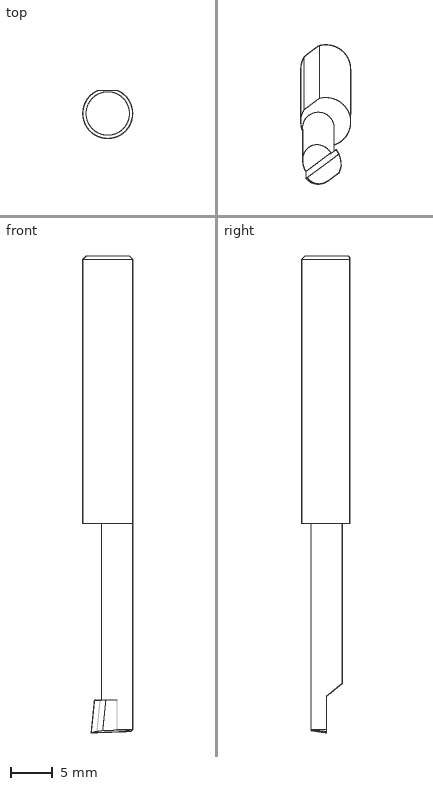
import cadquery as cq
import math

total_length = 57
shank_radius = 2.99
shank_bottom = 25.0
shank_chamfer = 0.4
flat_offset = 2.765

neck_radius = 1.9
neck_center_x = shank_radius - neck_radius
neck_chamfer = 0.4

tip_height = 3.95
tip_top_setback = 0.4
cutting_corner_x = -2.0
heel_x = -1.3
heel_depth = 1.35
front_corner_x = -0.6
relief_mid_x = -1.74
relief_mid_depth = 0.7

rake_runout_bottom = 4.4
rake_runout_top = 5.9
end_slope_x = 2
end_slope_y = 7
cut_margin = 5.7


def make_shank():
    shank = (
        cq.Workplane("XY")
        .workplane(offset=shank_bottom)
        .circle(shank_radius)
        .extrude(total_length - shank_bottom)
        .faces(">Z")
        .chamfer(shank_chamfer)
    )
    flat_cut = (
        cq.Workplane("XY")
        .workplane(offset=shank_bottom)
        .center(0, flat_offset + cut_margin / 2)
        .rect(2 * cut_margin, cut_margin)
        .extrude(total_length - shank_bottom)
    )
    return shank.cut(flat_cut)


def make_neck():
    neck = (
        cq.Workplane("XY")
        .center(neck_center_x, 0)
        .circle(neck_radius)
        .extrude(shank_bottom)
        .faces("<Z")
        .chamfer(neck_chamfer)
    )
    rake_cut = (
        cq.Workplane("YZ")
        .moveTo(0, -cut_margin)
        .lineTo(0, rake_runout_bottom)
        .lineTo(neck_radius, rake_runout_top)
        .lineTo(cut_margin, rake_runout_top)
        .lineTo(cut_margin, -cut_margin)
        .close()
        .extrude(cut_margin, both=True)
    )
    return neck.cut(rake_cut)


def tip_section(height, setback):
    """Tip outline: curved relief, flat heel, then a flat front face."""
    return (
        cq.Workplane("XY")
        .workplane(offset=height)
        .moveTo(cutting_corner_x + setback, 0)
        .threePointArc(
            (relief_mid_x + setback, -relief_mid_depth),
            (heel_x + setback, -heel_depth),
        )
        .lineTo(front_corner_x + setback, -neck_radius)
        .lineTo(neck_center_x, -neck_radius)
        .lineTo(neck_center_x, 0)
        .close()
        .wire()
        .val()
    )


def make_tip():
    sections = [tip_section(0, 0), tip_section(tip_height, tip_top_setback)]
    return cq.Workplane(cq.Solid.makeLoft(sections, True))


def make_end_cut():
    """Block under the end face, which slopes up away from the cutting corner."""
    end_plane = cq.Plane(
        origin=(cutting_corner_x, 0, 0),
        xDir=(1, 0, math.tan(math.radians(end_slope_x))),
        normal=(
            -math.tan(math.radians(end_slope_x)),
            math.tan(math.radians(end_slope_y)),
            1,
        ),
    )
    return cq.Workplane(end_plane).rect(4 * cut_margin, 4 * cut_margin).extrude(-cut_margin)


cutting_end = make_neck().union(make_tip()).cut(make_end_cut())
result = make_shank().union(cutting_end)